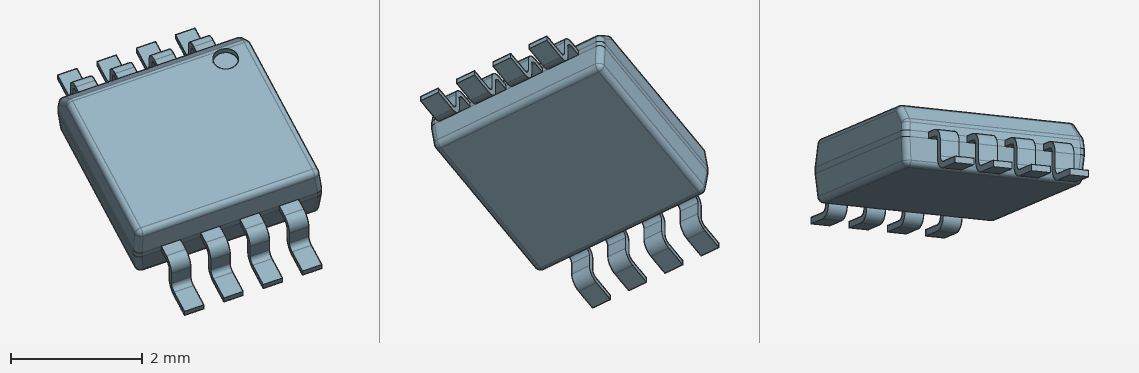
import cadquery as cq
import math

span_x = 4.9
body_side = 3.1
standoff = 0.1
body_height = 1.0
upper_height = 0.45
body_top = standoff + body_height

lead_count = 4
lead_pitch = 0.65
lead_width = 0.32
lead_thickness = 0.1
foot_length = 0.4
bend_inner = 0.1
bend_outer = bend_inner + lead_thickness
lead_top = body_top - upper_height
lead_underside = lead_top - lead_thickness

draft_angle = 5.0
edge_radius = 0.1
bevel_inset = 0.3
dimple_diameter = 0.39
dimple_depth = 0.1
dimple_x = -1.033
dimple_y = 1.036

parting_margin = 0.01

body_edge = body_side / 2


def drafted_half(start_z, height):
    """Square block that narrows away from the band; a negative height goes down."""
    block = cq.Workplane("XY").rect(body_side, body_side).extrude(abs(height), taper=draft_angle)
    if height < 0:
        block = block.mirror("XY")
    return block.translate((0, 0, start_z))


def pin_one_bevel():
    """Wedge that cuts the upper -X edge of the body at 45 degrees."""
    return (
        cq.Workplane("XZ")
        .moveTo(-body_edge, body_top)
        .lineTo(-body_edge + bevel_inset, body_top)
        .lineTo(-body_edge, body_top - bevel_inset)
        .close()
        .extrude(body_edge, both=True)
    )


def rounded_off(half):
    """Round every edge of a drafted half except those of its parting face, which lies flat on the band."""

    def is_free(edge):
        box = edge.BoundingBox()
        return box.zmax > lead_top + parting_margin or box.zmin < lead_underside - parting_margin

    return half.edges().filter(is_free).fillet(edge_radius)


def make_body():
    band = (
        cq.Workplane("XY", origin=(0, 0, lead_underside))
        .rect(body_side, body_side)
        .extrude(lead_thickness)
        .edges("|Z")
        .fillet(edge_radius)
    )
    upper = drafted_half(lead_top, upper_height).cut(pin_one_bevel())
    lower = drafted_half(lead_underside, standoff - lead_underside)
    rounded = band.union(rounded_off(upper)).union(rounded_off(lower))
    dimple = (
        cq.Workplane("XY", origin=(dimple_x, dimple_y, body_top - dimple_depth))
        .circle(dimple_diameter / 2)
        .extrude(dimple_depth)
    )
    return rounded.cut(dimple)


def make_lead(center_y):
    """Lead on the -X side, from its foot at Z = 0 up to the flat side of the band."""
    toe_x = -span_x / 2
    heel_x = toe_x + foot_length
    shin_outer_x = heel_x + bend_inner
    shin_inner_x = heel_x + bend_outer
    shoulder_x = shin_outer_x + bend_outer
    knee_z = lead_top - bend_outer
    diagonal = math.sqrt(0.5)
    return (
        cq.Workplane("XZ", origin=(0, center_y, 0))
        .moveTo(toe_x, 0)
        .lineTo(heel_x, 0)
        .threePointArc(
            (heel_x + bend_outer * diagonal, bend_outer * (1 - diagonal)),
            (shin_inner_x, bend_outer),
        )
        .lineTo(shin_inner_x, knee_z)
        .threePointArc(
            (shoulder_x - bend_inner * diagonal, knee_z + bend_inner * diagonal),
            (shoulder_x, lead_underside),
        )
        .lineTo(-body_edge, lead_underside)
        .lineTo(-body_edge, lead_top)
        .lineTo(shoulder_x, lead_top)
        .threePointArc(
            (shoulder_x - bend_outer * diagonal, knee_z + bend_outer * diagonal),
            (shin_outer_x, knee_z),
        )
        .lineTo(shin_outer_x, bend_outer)
        .threePointArc(
            (heel_x + bend_inner * diagonal, bend_outer - bend_inner * diagonal),
            (heel_x, lead_thickness),
        )
        .lineTo(toe_x, lead_thickness)
        .close()
        .extrude(lead_width / 2, both=True)
    )


body = make_body()

leads = []
for index in range(lead_count):
    row_y = (index - (lead_count - 1) / 2) * lead_pitch
    left_lead = make_lead(row_y)
    leads.append(left_lead.val())
    leads.append(left_lead.mirror("YZ").val())

result = cq.Compound.makeCompound([body.val(), *leads])